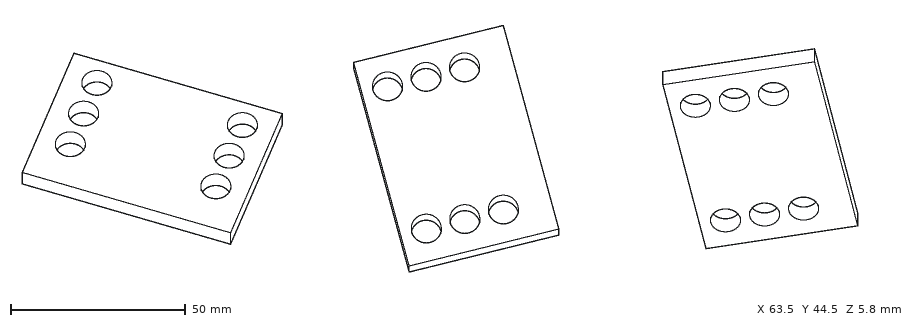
import cadquery as cq

length = 63.5
width = 44.45
thickness = 5.8

hole_diameter = 8.65
column_spacing = 44.3
column_center_x = 0.1
row_pitch = 11.4
rows_per_column = 3
top_row_inset = 7.6

middle_row_y = width / 2 - top_row_inset - row_pitch * (rows_per_column - 1) / 2

plate = cq.Workplane("XY").box(length, width, thickness)

result = (
    plate.faces(">Z")
    .workplane(origin=(column_center_x, middle_row_y, 0))
    .rarray(column_spacing, row_pitch, 2, rows_per_column)
    .hole(hole_diameter)
)